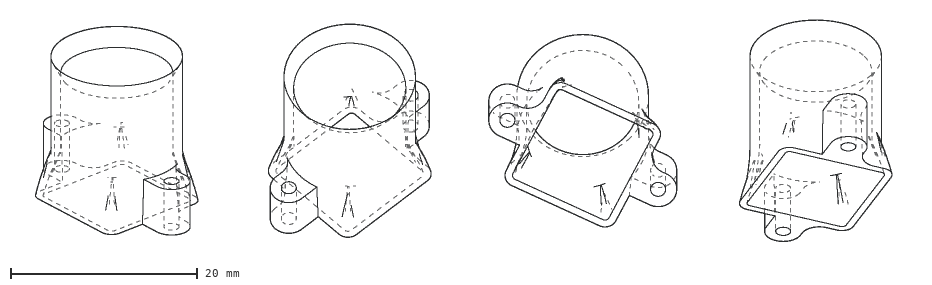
import cadquery as cq
import math

overall_length = 22.0
overall_height = 17.0
base_height = 5.48
tube_diameter = 14.1
bore_radius = 6.0
rim_depth = 2.0
square_half = 6.55
corner_radius = 1.32
opening_half = 5.75
opening_corner_radius = 0.5
tab_width = 4.0
hole_diameter = 1.6
web_radius = 2.0
corner_bulge = 0.09
seam_half_angle = 0.5
search_margin = 0.1

tube_radius = tube_diameter / 2
tab_radius = tab_width / 2
hole_offset = overall_length / 2 - tab_radius


def quarter_turns(point):
    """The point repeated at each quarter turn about Z."""
    x, y = point
    return [(x, y), (-y, x), (-x, -y), (y, -x)]


def section(plane_z, side_start, side_middle, side_end, corner_middle):
    """Closed outline of four sides and four corners, each drawn as an arc or a line."""
    starts = quarter_turns(side_start)
    middles = quarter_turns(side_middle)
    ends = quarter_turns(side_end)
    corners = quarter_turns(corner_middle)
    outline = cq.Workplane("XY", origin=(0, 0, plane_z)).moveTo(*starts[0])
    for i in range(4):
        if side_middle[0] == side_end[0]:
            outline = outline.lineTo(*ends[i])
        else:
            outline = outline.threePointArc(middles[i], ends[i])
        outline = outline.threePointArc(corners[i], starts[(i + 1) % 4])
    return outline.close().wires().val()


def square_to_round(half, corner, radius):
    """Smooth transition from a rounded square at the bottom to a circle at the top."""
    straight = half - corner
    square_corner = straight + corner * math.sqrt(0.5)
    seam = math.radians(45 - seam_half_angle)
    round_x = radius * math.cos(seam)
    round_y = radius * math.sin(seam)
    round_corner = radius * math.sqrt(0.5)
    middle_x = (half + round_x) / 2 + corner_bulge
    middle_y = (straight + round_y) / 2
    middle_corner = (square_corner + round_corner) / 2 + corner_bulge
    side_x = (half + radius) / 2

    bottom = section(0, (half, -straight), (half, 0), (half, straight),
                     (square_corner, square_corner))
    middle = section(base_height / 2, (middle_x, -middle_y), (side_x, 0), (middle_x, middle_y),
                     (middle_corner, middle_corner))
    top = section(base_height, (round_x, -round_y), (radius, 0), (round_x, round_y),
                  (round_corner, round_corner))
    return cq.Workplane(cq.Solid.makeLoft([bottom, middle, top]))


def base_with_tabs():
    """Foot with two screw tabs, each blended into the foot on its +Y side."""
    foot = square_to_round(square_half, corner_radius, tube_radius)
    tabs = cq.Workplane("XY").slot2D(overall_length, tab_width).extrude(base_height)
    joined = foot.union(tabs)
    search_box = cq.selectors.BoxSelector(
        (-hole_offset + search_margin, tab_radius - search_margin, search_margin),
        (hole_offset - search_margin, tab_radius + search_margin, base_height - search_margin),
    )
    return joined.edges(search_box).fillet(web_radius)


def tube():
    return (
        cq.Workplane("XY", origin=(0, 0, base_height))
        .circle(tube_radius)
        .extrude(overall_height - base_height)
    )


def passage():
    """Square-to-round opening, straight bore and conical mouth."""
    opening = square_to_round(opening_half, opening_corner_radius, bore_radius)
    mouth_z = overall_height - rim_depth
    upper = (
        cq.Workplane("XZ")
        .moveTo(0, base_height)
        .lineTo(bore_radius, base_height)
        .lineTo(bore_radius, mouth_z)
        .lineTo(tube_radius, overall_height)
        .lineTo(0, overall_height)
        .close()
        .revolve(360, (0, 0, 0), (0, 1, 0))
    )
    return opening.union(upper)


def screw_holes():
    return (
        cq.Workplane("XY")
        .pushPoints([(-hole_offset, 0), (hole_offset, 0)])
        .circle(hole_diameter / 2)
        .extrude(base_height)
    )


result = base_with_tabs().union(tube()).cut(passage()).cut(screw_holes())